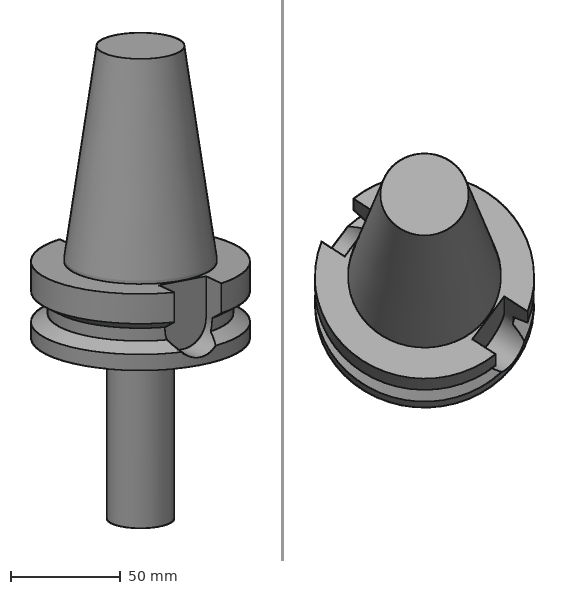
import cadquery as cq

total_height = 225.8
shank_top = 81.7
flange_bottom = 86.3
lower_rim_top = 94.0
groove_bottom = 98.0
groove_top = 104.0
upper_rim_bottom = 108.5
flange_top = 122.8
taper_start = 124.5

shank_diameter = 31.0
collar_diameter = 40.6
flange_diameter = 100.0
groove_diameter = 85.0
taper_large_diameter = 69.8
taper_small_diameter = 40.2

slot_width = 25.5
slot_floor_offset = 35.5
slot_bottom = 90.0


def make_body():
    """Revolve the half profile of shank, flange and taper about Z."""
    profile = [
        (0, 0),
        (shank_diameter / 2, 0),
        (shank_diameter / 2, shank_top),
        (collar_diameter / 2, flange_bottom),
        (flange_diameter / 2, flange_bottom),
        (flange_diameter / 2, lower_rim_top),
        (groove_diameter / 2, groove_bottom),
        (groove_diameter / 2, groove_top),
        (flange_diameter / 2, upper_rim_bottom),
        (flange_diameter / 2, flange_top),
        (taper_large_diameter / 2, flange_top),
        (taper_large_diameter / 2, taper_start),
        (taper_small_diameter / 2, total_height),
        (0, total_height),
    ]
    return cq.Workplane("XZ").polyline(profile).close().revolve(360, (0, 0), (0, 1))


def make_drive_slot(side):
    """Round-bottomed slot cutter; side is -1 for -X and +1 for +X."""
    round_center = slot_bottom + slot_width / 2
    return (
        cq.Workplane("YZ", origin=(side * slot_floor_offset, 0, 0))
        .moveTo(-slot_width / 2, flange_top)
        .lineTo(-slot_width / 2, round_center)
        .threePointArc((0, slot_bottom), (slot_width / 2, round_center))
        .lineTo(slot_width / 2, flange_top)
        .close()
        .extrude(side * flange_diameter / 2)
    )


result = make_body()
for side in (-1, 1):
    result = result.cut(make_drive_slot(side))